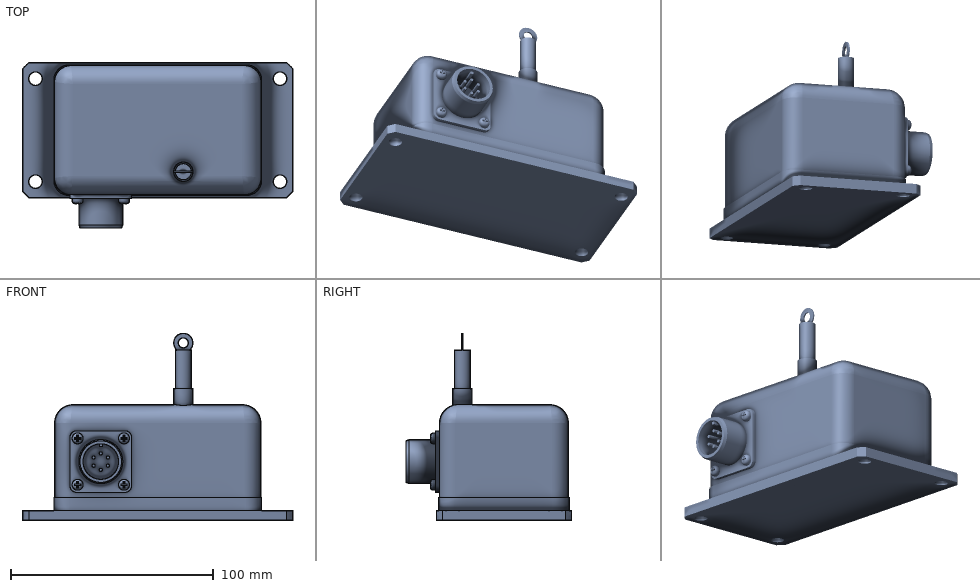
import cadquery as cq

PLATE_LENGTH = 133.35
PLATE_WIDTH = 66.675
PLATE_THICKNESS = 4.83
PLATE_CHAMFER = 3.05
MOUNT_HOLE_DIAMETER = 6.53
MOUNT_SPACING_X = 120.65
MOUNT_SPACING_Y = 50.8

COVER_LENGTH = 101.8
COVER_WIDTH = 63.65
COVER_TOP = 57.15
COVER_CORNER_RADIUS = 7.92
COVER_TOP_RADIUS = 9.2
SKIRT_CORNER_RADIUS = 7.6
SKIRT_STEP = 0.4
SKIRT_TOP = 11.43
COVER_FRONT = -COVER_WIDTH / 2

POST_X = 12.6
POST_Y = -20.5
COLLAR_DIAMETER = 9.53
COLLAR_TOP = 65.02
STEM_DIAMETER = 7.92
STEM_TOP = 84.1
EYELET_DIAMETER = 9.53
EYELET_HOLE_DIAMETER = 4.83
EYELET_THICKNESS = 0.8
OVERALL_HEIGHT = 92.37
EYELET_Z = OVERALL_HEIGHT - EYELET_DIAMETER / 2
POST_ROOT = COVER_TOP - COVER_TOP_RADIUS

CONNECTOR_X = -28.1
CONNECTOR_Z = 29.05
OVERALL_WIDTH = 81.66
FLANGE_SIZE = 30.4
FLANGE_THICKNESS = 2.0
FLANGE_CORNER_RADIUS = 3.3
FLANGE_FACE = COVER_FRONT - FLANGE_THICKNESS
SHELL_DIAMETER = 21.74
SHELL_BORE_DIAMETER = 17.53
SHELL_END = PLATE_WIDTH / 2 - OVERALL_WIDTH
SHELL_LENGTH = FLANGE_FACE - SHELL_END
SHELL_CHAMFER_LENGTH = 1.6
SHELL_CHAMFER_DEPTH = 0.6
KEY_WIDTH = 1.5
KEY_DEPTH = 1.4
KEY_RECESS = 2.0
PIN_DIAMETER = 1.55
PIN_COUNT = 6
PIN_CIRCLE_RADIUS = 4.06
PIN_RECESS = 2.2

SCREW_SPACING = 22.9
SCREW_HEAD_DIAMETER = 5.38
SCREW_HEAD_HEIGHT = 2.5
SCREW_HEAD_RADIUS = 1.5
CROSS_LENGTH = 3.2
CROSS_WIDTH = 0.9
CROSS_DEPTH = 1.0
CROSS_TAPER_ANGLE = 10

OVERLAP = 1.0


def front_plane(y):
    """Sketch plane at depth y, centred on the connector axis and facing -Y."""
    return cq.Workplane("XZ", origin=(CONNECTOR_X, y, CONNECTOR_Z))


def make_plate():
    plate = cq.Workplane("XY").box(PLATE_LENGTH, PLATE_WIDTH, PLATE_THICKNESS, centered=(True, True, False))
    plate = plate.edges("|Z").chamfer(PLATE_CHAMFER)
    holes = (
        cq.Workplane("XY")
        .rect(MOUNT_SPACING_X, MOUNT_SPACING_Y, forConstruction=True)
        .vertices()
        .circle(MOUNT_HOLE_DIAMETER / 2)
        .extrude(PLATE_THICKNESS)
    )
    return plate.cut(holes)


def make_housing():
    skirt_length = COVER_LENGTH + 2 * SKIRT_STEP
    skirt_width = COVER_WIDTH + 2 * SKIRT_STEP
    skirt = (
        cq.Workplane("XY")
        .box(skirt_length, skirt_width, SKIRT_TOP, centered=(True, True, False))
        .edges("|Z")
        .fillet(SKIRT_CORNER_RADIUS)
    )
    cover = (
        cq.Workplane("XY")
        .box(COVER_LENGTH, COVER_WIDTH, COVER_TOP, centered=(True, True, False))
        .edges("|Z")
        .fillet(COVER_CORNER_RADIUS)
        .faces(">Z")
        .edges()
        .fillet(COVER_TOP_RADIUS)
    )
    return skirt.union(cover)


def make_post():
    base = cq.Workplane("XY", origin=(POST_X, POST_Y, POST_ROOT))
    collar = base.circle(COLLAR_DIAMETER / 2).extrude(COLLAR_TOP - POST_ROOT)
    stem = base.circle(STEM_DIAMETER / 2).extrude(STEM_TOP - POST_ROOT)
    eyelet = (
        cq.Workplane("XZ", origin=(POST_X, POST_Y, EYELET_Z))
        .circle(EYELET_DIAMETER / 2)
        .circle(EYELET_HOLE_DIAMETER / 2)
        .extrude(EYELET_THICKNESS / 2, both=True)
    )
    return collar.union(stem).union(eyelet)


def make_connector():
    flange = (
        front_plane(COVER_FRONT + OVERLAP)
        .rect(FLANGE_SIZE, FLANGE_SIZE)
        .extrude(FLANGE_THICKNESS + OVERLAP)
        .edges("|Y")
        .fillet(FLANGE_CORNER_RADIUS)
    )
    shell = front_plane(FLANGE_FACE).circle(SHELL_DIAMETER / 2).extrude(SHELL_LENGTH)
    shell = shell.faces("<Y").chamfer(SHELL_CHAMFER_LENGTH, SHELL_CHAMFER_DEPTH)
    bore = front_plane(FLANGE_FACE).circle(SHELL_BORE_DIAMETER / 2).extrude(SHELL_LENGTH)
    key = (
        front_plane(FLANGE_FACE)
        .center(0, SHELL_BORE_DIAMETER / 2)
        .rect(KEY_WIDTH, 2 * KEY_DEPTH)
        .extrude(SHELL_LENGTH - KEY_RECESS)
    )
    pins = (
        front_plane(FLANGE_FACE + OVERLAP)
        .polarArray(PIN_CIRCLE_RADIUS, 90, 360, PIN_COUNT)
        .circle(PIN_DIAMETER / 2)
        .extrude(SHELL_LENGTH - PIN_RECESS + OVERLAP)
    )
    return flange.union(shell.cut(bore.cut(key))).union(pins)


def make_screw(x, z):
    """Domed cross-recess screw head, offset (x, z) from the connector axis."""
    head = front_plane(FLANGE_FACE).center(x, z).circle(SCREW_HEAD_DIAMETER / 2).extrude(SCREW_HEAD_HEIGHT)
    head = head.faces("<Y").edges().fillet(SCREW_HEAD_RADIUS)
    top = front_plane(FLANGE_FACE - SCREW_HEAD_HEIGHT).center(x, z)
    cross = top.rect(CROSS_LENGTH, CROSS_WIDTH).extrude(-CROSS_DEPTH, taper=CROSS_TAPER_ANGLE)
    cross = cross.union(top.rect(CROSS_WIDTH, CROSS_LENGTH).extrude(-CROSS_DEPTH, taper=CROSS_TAPER_ANGLE))
    return head.cut(cross)


def make_screws():
    half_spacing = SCREW_SPACING / 2
    screws = cq.Workplane("XY")
    for x in (-half_spacing, half_spacing):
        for z in (-half_spacing, half_spacing):
            screws = screws.add(make_screw(x, z))
    return screws


result = make_plate().union(make_housing()).union(make_post()).union(make_connector()).union(make_screws())